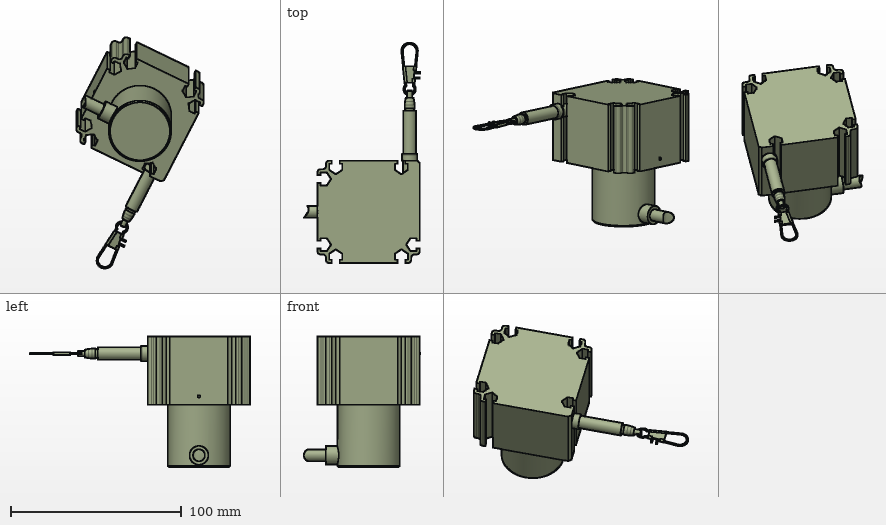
import cadquery as cq
import math


HOUSING_SIDE = 60.0
HOUSING_HEIGHT = 40.0
HALF_SIDE = HOUSING_SIDE / 2
PLAIN_CORNER_CHAMFER = 1.5

SLOT_OFFSET = 19.2
SLOT_OPENING = 4.5
SLOT_WIDTH = 7.4
SLOT_LIP = 2.0
SLOT_WALL_DEPTH = 5.5
SLOT_DEPTH = 8.0

NOTCH_SIDE = 5.0
NOTCH_OUTER_RADIUS = 2.0
NOTCH_INNER_RADIUS = 1.8

DIMPLE_DIAMETER = 1.5
DIMPLE_DEPTH = 1.0
DIMPLE_Z = 5.0

CAN_DIAMETER = 36.7
CAN_LENGTH = 36.5
CAN_CHAMFER = 0.9

CABLE_Z = -29.5
GLAND_DIAMETER = 11.0
GLAND_END_X = -25.0
CABLE_DIAMETER = 7.0
CABLE_EDGE_X = -36.0
CABLE_HOLLOW_X = -35.1
CABLE_BREAK_X = -35.4
CABLE_TIP_X = -38.0

OUTLET_X = 24.0
OUTLET_Z = 30.0
NECK_DIAMETER = 8.0
NECK_START_Y = 20.0
COLLAR_DIAMETER = 9.0
COLLAR_LENGTH = 4.0
COLLAR_FILLET = 0.5
TUBE_DIAMETER = 7.5
TUBE_END_Y = 59.2

BARREL_FOOT_RADIUS = 2.4
BARREL_RADIUS = 3.0
BARREL_SHOULDER_RADIUS = 2.75
BARREL_TOP_RADIUS = 2.35
BARREL_FOOT_LENGTH = 1.5
BARREL_STEP = 2.0
STEM_RADIUS = 1.6
STEM_LENGTH = 4.3
STEM_CHAMFER = 0.45

HOOK_TOP_Y = 98.99
HOOK_WIRE_RADIUS = 0.5
LOOP_RADIUS = 4.4
ARM_TILT = math.radians(6.0)
RING_RADIUS = 3.15
RING_CENTRE_Y = 71.8
LOOP_CENTRE_Y = HOOK_TOP_Y - HOOK_WIRE_RADIUS - LOOP_RADIUS
UPPER_CATCH_Y = 81.4
UPPER_CATCH_END_X = 30.27
LOWER_CATCH_Y = 78.3
LOWER_CATCH_END_X = 29.8
PLATE_TOP_Y = 85.2
PLATE_BOTTOM_Y = 75.4
PLATE_THICKNESS = 1.0
SLEEVE_RADIUS = 0.9
SLEEVE_INSET = 0.3
UPPER_SLEEVE_END_Y = 82.9
LOWER_SLEEVE_END_Y = 77.8


def rod(start, end, radius):
    """Round bar between two points."""
    start = cq.Vector(*start)
    axis = cq.Vector(*end) - start
    return cq.Workplane(cq.Solid.makeCylinder(radius, axis.Length, start, axis))


def about_z(shape, angle):
    """Turn a shape about the housing axis by an angle in degrees."""
    return shape.rotate((0, 0, 0), (0, 0, 1), angle)


def slot_cutter(offset):
    """T-slot with a pointed floor, open to the +Y side of the housing."""
    wall_y = HALF_SIDE - SLOT_WALL_DEPTH
    lip_y = HALF_SIDE - SLOT_LIP
    return (
        cq.Workplane("XY")
        .moveTo(offset - SLOT_OPENING / 2, HALF_SIDE)
        .lineTo(offset - SLOT_OPENING / 2, lip_y)
        .lineTo(offset - SLOT_WIDTH / 2, lip_y)
        .lineTo(offset - SLOT_WIDTH / 2, wall_y)
        .lineTo(offset, HALF_SIDE - SLOT_DEPTH)
        .lineTo(offset + SLOT_WIDTH / 2, wall_y)
        .lineTo(offset + SLOT_WIDTH / 2, lip_y)
        .lineTo(offset + SLOT_OPENING / 2, lip_y)
        .lineTo(offset + SLOT_OPENING / 2, HALF_SIDE)
        .close()
        .extrude(HOUSING_HEIGHT)
    )


def notch_cutter():
    """Rounded square notch in the (+X, +Y) corner, symmetric about the diagonal."""
    wall = HALF_SIDE - NOTCH_SIDE
    outer = NOTCH_OUTER_RADIUS
    inner = NOTCH_INNER_RADIUS
    return (
        cq.Workplane("XY")
        .moveTo(wall - outer, HALF_SIDE)
        .radiusArc((wall, HALF_SIDE - outer), outer)
        .lineTo(wall, wall + inner)
        .radiusArc((wall + inner, wall), -inner)
        .lineTo(HALF_SIDE - outer, wall)
        .radiusArc((HALF_SIDE, wall - outer), outer)
        .lineTo(HALF_SIDE, HALF_SIDE)
        .close()
        .extrude(HOUSING_HEIGHT)
    )


def make_housing():
    housing = cq.Workplane("XY").box(
        HOUSING_SIDE, HOUSING_SIDE, HOUSING_HEIGHT, centered=(True, True, False)
    )
    plain_corner = cq.selectors.DirectionMinMaxSelector(cq.Vector(1, 1, 0), True)
    housing = housing.edges("|Z").edges(plain_corner).chamfer(PLAIN_CORNER_CHAMFER)
    for angle in (90, 180, 270):
        housing = housing.cut(about_z(notch_cutter(), angle))

    right_slot = slot_cutter(SLOT_OFFSET)
    left_slot = slot_cutter(-SLOT_OFFSET)
    for angle in (0, 90, 180, 270):
        housing = housing.cut(about_z(right_slot, angle))
    for angle in (0, 90, 180):
        housing = housing.cut(about_z(left_slot, angle))

    dimple_floor_x = -HALF_SIDE + DIMPLE_DEPTH
    dimple = rod((-HALF_SIDE, 0, DIMPLE_Z), (dimple_floor_x, 0, DIMPLE_Z), DIMPLE_DIAMETER / 2)
    return housing.cut(dimple)


def make_can():
    return (
        cq.Workplane("XY")
        .circle(CAN_DIAMETER / 2)
        .extrude(-CAN_LENGTH)
        .faces("<Z")
        .chamfer(CAN_CHAMFER)
    )


def make_cable():
    """Gland and cable stub; the cable end is a broken edge, the same at every height."""
    radius = CABLE_DIAMETER / 2
    gland = rod((GLAND_END_X, 0, CABLE_Z), (0, 0, CABLE_Z), GLAND_DIAMETER / 2)
    cable = rod((CABLE_TIP_X, 0, CABLE_Z), (0, 0, CABLE_Z), radius)
    broken_outline = (
        cq.Workplane("XY", origin=(0, 0, CABLE_Z - radius))
        .moveTo(0, radius)
        .lineTo(CABLE_EDGE_X, radius)
        .spline(
            [(CABLE_HOLLOW_X, radius / 2), (CABLE_BREAK_X, 0), (CABLE_TIP_X, -radius)],
            includeCurrent=True,
        )
        .lineTo(0, -radius)
        .close()
        .extrude(CABLE_DIAMETER)
    )
    return gland.union(cable.intersect(broken_outline))


def make_outlet():
    """Neck, collar and tube in line with the wire."""
    collar_end_y = HALF_SIDE + COLLAR_LENGTH
    neck = rod(
        (OUTLET_X, NECK_START_Y, OUTLET_Z), (OUTLET_X, HALF_SIDE, OUTLET_Z), NECK_DIAMETER / 2
    )
    collar = rod(
        (OUTLET_X, HALF_SIDE, OUTLET_Z), (OUTLET_X, collar_end_y, OUTLET_Z), COLLAR_DIAMETER / 2
    )
    collar = collar.faces(">Y").edges().fillet(COLLAR_FILLET)
    tube = rod((OUTLET_X, HALF_SIDE, OUTLET_Z), (OUTLET_X, TUBE_END_Y, OUTLET_Z), TUBE_DIAMETER / 2)
    return neck.union(collar).union(tube)


def make_end_fitting():
    """Turned barrel and stem; the outline is radius against distance along the wire."""
    widest = BARREL_FOOT_LENGTH
    barrel_top = widest + 3 * BARREL_STEP
    stem_top = barrel_top + STEM_LENGTH
    return (
        cq.Workplane("XY", origin=(OUTLET_X, TUBE_END_Y, OUTLET_Z))
        .moveTo(0, 0)
        .lineTo(BARREL_FOOT_RADIUS, 0)
        .lineTo(BARREL_RADIUS, widest)
        .lineTo(BARREL_RADIUS, widest + BARREL_STEP)
        .lineTo(BARREL_SHOULDER_RADIUS, widest + 2 * BARREL_STEP)
        .lineTo(BARREL_TOP_RADIUS, barrel_top)
        .lineTo(STEM_RADIUS, barrel_top)
        .lineTo(STEM_RADIUS, stem_top - STEM_CHAMFER)
        .lineTo(STEM_RADIUS - STEM_CHAMFER, stem_top)
        .lineTo(0, stem_top)
        .close()
        .revolve(360, (0, 0), (0, 1))
    )


def arm_half_width(y):
    """Distance of a hook arm's centre line from the hook axis; the arms close in downwards."""
    return LOOP_RADIUS / math.cos(ARM_TILT) - (LOOP_CENTRE_Y - y) * math.tan(ARM_TILT)


def arm_point(side, y, inset=0.0):
    """Point on the left (side -1) or right (side +1) arm, moved towards the axis by inset."""
    return (OUTLET_X + side * (arm_half_width(y) - inset), y, OUTLET_Z)


def wire_arc(radius, centre_y, start, middle, end):
    """Hook wire bent along a circle about the hook axis; angles are measured from +X."""
    def on_circle(angle):
        return (radius * math.cos(angle), centre_y + radius * math.sin(angle))

    plane = cq.Workplane("XY", origin=(OUTLET_X, 0, OUTLET_Z))
    path = plane.moveTo(*on_circle(start)).threePointArc(on_circle(middle), on_circle(end))
    start_x, start_y = on_circle(start)
    section = cq.Plane(
        origin=(OUTLET_X + start_x, start_y, OUTLET_Z),
        xDir=(0, 0, 1),
        normal=(-math.sin(start), math.cos(start), 0),
    )
    return cq.Workplane(section).circle(HOOK_WIRE_RADIUS).sweep(path)


def wire_bend(point):
    """Ball that rounds the corner where two straight wires meet."""
    return cq.Workplane("XY", origin=point).sphere(HOOK_WIRE_RADIUS)


def make_hook_wire():
    """Loop, two arms, ring through the stem, and two open catches on the right arm."""
    wire = HOOK_WIRE_RADIUS
    up = math.pi / 2
    loop = wire_arc(LOOP_RADIUS, LOOP_CENTRE_Y, -ARM_TILT, up, math.pi + ARM_TILT)

    arm_to_ring = LOOP_RADIUS - (LOOP_CENTRE_Y - RING_CENTRE_Y) * math.sin(ARM_TILT)
    ring_angle = math.acos(arm_to_ring / RING_RADIUS) - ARM_TILT
    ring = wire_arc(RING_RADIUS, RING_CENTRE_Y, math.pi - ring_angle, -up, ring_angle)

    arm_top_y = LOOP_CENTRE_Y - LOOP_RADIUS * math.sin(ARM_TILT)
    arm_bottom_y = RING_CENTRE_Y + RING_RADIUS * math.sin(ring_angle)
    left_arm = rod(arm_point(-1, arm_top_y), arm_point(-1, arm_bottom_y), wire)
    hook = loop.union(left_arm).union(ring)

    for side in (-1, 1):
        hook = hook.union(wire_bend(arm_point(side, arm_bottom_y)))

    catches = (
        (arm_top_y, UPPER_CATCH_Y, UPPER_CATCH_END_X),
        (arm_bottom_y, LOWER_CATCH_Y, LOWER_CATCH_END_X),
    )
    for arm_end_y, catch_y, catch_end_x in catches:
        corner = arm_point(1, catch_y)
        hook = hook.union(rod(arm_point(1, arm_end_y), corner, wire))
        hook = hook.union(wire_bend(corner))
        hook = hook.union(rod(corner, (catch_end_x, catch_y, OUTLET_Z), wire))
    return hook


def make_hook_plate():
    """Flat plate between the arms, with its edges rolled into sleeves around them."""
    corners = [
        arm_point(-1, PLATE_TOP_Y, SLEEVE_INSET),
        arm_point(1, PLATE_TOP_Y, SLEEVE_INSET),
        arm_point(1, PLATE_BOTTOM_Y, SLEEVE_INSET),
        arm_point(-1, PLATE_BOTTOM_Y, SLEEVE_INSET),
    ]
    plate = (
        cq.Workplane("XY", origin=(0, 0, OUTLET_Z - PLATE_THICKNESS / 2))
        .polyline([corner[:2] for corner in corners])
        .close()
        .extrude(PLATE_THICKNESS)
    )
    sleeves = (
        (-1, PLATE_TOP_Y, PLATE_BOTTOM_Y),
        (1, PLATE_TOP_Y, UPPER_SLEEVE_END_Y),
        (1, LOWER_SLEEVE_END_Y, PLATE_BOTTOM_Y),
    )
    for side, top_y, bottom_y in sleeves:
        top = arm_point(side, top_y, SLEEVE_INSET)
        bottom = arm_point(side, bottom_y, SLEEVE_INSET)
        plate = plate.union(rod(top, bottom, SLEEVE_RADIUS))
    return plate


result = (
    make_housing()
    .union(make_can())
    .union(make_cable())
    .union(make_outlet())
    .union(make_end_fitting())
    .union(make_hook_plate())
    .union(make_hook_wire())
)